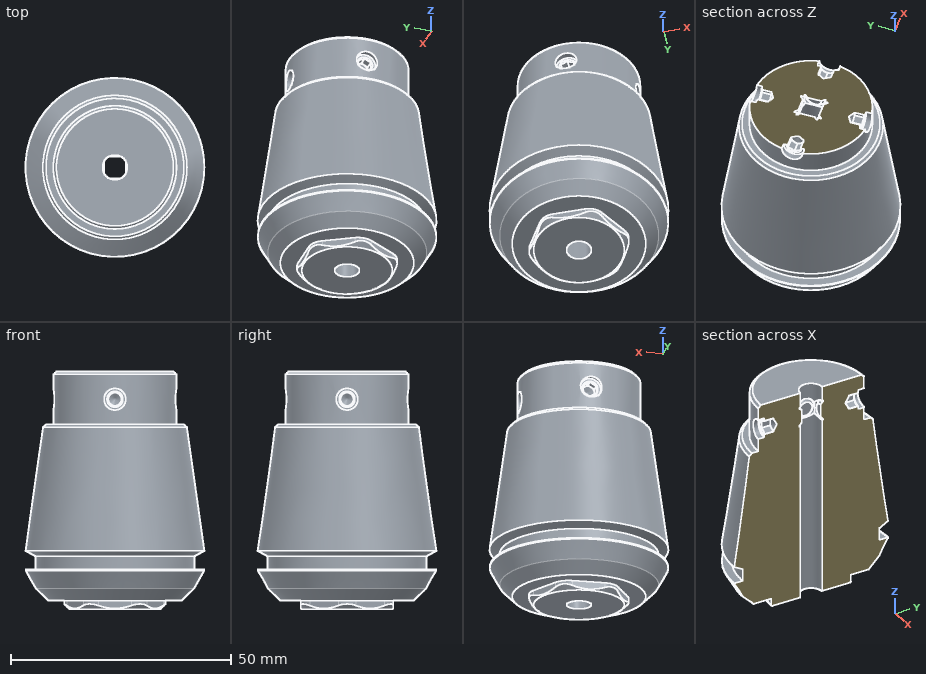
import cadquery as cq
import math

TOTAL_HEIGHT = 54.0
NUT_HEIGHT = 2.0
COLLAR_BREAK_Z = 4.8
COLLAR_RIM_Z = 8.8
GROOVE_BOTTOM_Z = 9.05
GROOVE_TOP_Z = 12.05
SLEEVE_BOTTOM_Z = 13.3
SHOULDER_Z = 42.0

NECK_DIAMETER = 27.95
SHOULDER_DIAMETER = 32.7
SLEEVE_DIAMETER = 40.65
GROOVE_DIAMETER = 36.2
COLLAR_DIAMETER = 40.55
COLLAR_BREAK_DIAMETER = 36.05
COLLAR_BOTTOM_DIAMETER = 30.35
BORE_DIAMETER = 5.6
EDGE_CHAMFER = 0.7

NUT_ACROSS_FLATS = 21.0
NUT_CORNER_RADIUS = 4.0
NUT_CHAMFER_DIAMETER = 20.6

SCREW_COUNT = 4
SCREW_DIAMETER = 4.9
SCREW_Z = 47.7
SCREW_TIP_RADIUS = 2.45
SCREW_TIP_CHAMFER = 0.75
SCREW_LENGTH = 10.0
SOCKET_ACROSS_FLATS = 2.95
SOCKET_DEPTH = 2.5
SOCKET_COUNTERSINK_DIAMETER = 3.6
DRILL_POINT_ANGLE = 120.0

HEXAGON_HALF_ANGLE = 30.0


def hexagon_across_corners(across_flats):
    """Distance between opposite sharp corners of a regular hexagon."""
    return across_flats / math.cos(math.radians(HEXAGON_HALF_ANGLE))


def make_body():
    """Revolve the neck, tapered sleeve, groove and collar."""
    neck_radius = NECK_DIAMETER / 2
    shoulder_radius = SHOULDER_DIAMETER / 2
    groove_radius = GROOVE_DIAMETER / 2
    collar_radius = COLLAR_DIAMETER / 2
    profile = [
        (0, NUT_HEIGHT),
        (COLLAR_BOTTOM_DIAMETER / 2, NUT_HEIGHT),
        (COLLAR_BREAK_DIAMETER / 2, COLLAR_BREAK_Z),
        (collar_radius, COLLAR_RIM_Z),
        (collar_radius, GROOVE_BOTTOM_Z),
        (groove_radius, GROOVE_BOTTOM_Z),
        (groove_radius, GROOVE_TOP_Z),
        (SLEEVE_DIAMETER / 2, SLEEVE_BOTTOM_Z),
        (shoulder_radius, SHOULDER_Z - EDGE_CHAMFER),
        (shoulder_radius - EDGE_CHAMFER, SHOULDER_Z),
        (neck_radius, SHOULDER_Z),
        (neck_radius, TOTAL_HEIGHT - EDGE_CHAMFER),
        (neck_radius - EDGE_CHAMFER, TOTAL_HEIGHT),
        (0, TOTAL_HEIGHT),
    ]
    return cq.Workplane("XZ").polyline(profile).close().revolve(360, (0, 0), (0, 1))


def make_nut():
    """Hexagon with flats facing +-Y, rounded corners and a 45 degree bottom chamfer."""
    sharp_corners = hexagon_across_corners(NUT_ACROSS_FLATS)
    hexagon = (
        cq.Workplane("XY")
        .polygon(6, sharp_corners)
        .extrude(NUT_HEIGHT)
        .edges("|Z")
        .fillet(NUT_CORNER_RADIUS)
    )
    bottom_radius = NUT_CHAMFER_DIAMETER / 2
    cone = cq.Solid.makeCone(bottom_radius, bottom_radius + NUT_HEIGHT, NUT_HEIGHT)
    return hexagon.intersect(cq.Workplane(cone))


def make_screw():
    """Socket set screw along +X, its chamfered tip inside the bore and its head below the neck surface."""
    head_radius = SCREW_TIP_RADIUS + SCREW_LENGTH
    socket_floor = head_radius - SOCKET_DEPTH
    drill_radius = SOCKET_ACROSS_FLATS / 2
    drill_point_depth = drill_radius / math.tan(math.radians(DRILL_POINT_ANGLE / 2))
    countersink_radius = SOCKET_COUNTERSINK_DIAMETER / 2

    screw = (
        cq.Workplane("YZ", origin=(SCREW_TIP_RADIUS, 0, SCREW_Z))
        .circle(SCREW_DIAMETER / 2)
        .extrude(SCREW_LENGTH)
        .faces("<X")
        .chamfer(SCREW_TIP_CHAMFER)
    )
    socket = (
        cq.Workplane("YZ", origin=(socket_floor, 0, SCREW_Z))
        .transformed(rotate=(0, 0, HEXAGON_HALF_ANGLE))
        .polygon(6, hexagon_across_corners(SOCKET_ACROSS_FLATS))
        .extrude(SOCKET_DEPTH)
    )
    inward = cq.Vector(-1, 0, 0)
    drill_point = cq.Solid.makeCone(
        drill_radius, 0, drill_point_depth, cq.Vector(socket_floor, 0, SCREW_Z), inward
    )
    countersink = cq.Solid.makeCone(
        countersink_radius, 0, countersink_radius, cq.Vector(head_radius, 0, SCREW_Z), inward
    )
    return screw.cut(socket).cut(cq.Workplane(drill_point)).cut(cq.Workplane(countersink))


def around_axis(shape, index):
    """Turn a shape to the given screw position about the Z axis."""
    return shape.rotate((0, 0, 0), (0, 0, 1), index * 360 / SCREW_COUNT)


bore = cq.Workplane("XY").circle(BORE_DIAMETER / 2).extrude(TOTAL_HEIGHT)
screw_hole = (
    cq.Workplane("YZ", origin=(0, 0, SCREW_Z))
    .circle(SCREW_DIAMETER / 2)
    .extrude(NECK_DIAMETER / 2)
)
set_screw = make_screw()

result = make_body().union(make_nut()).cut(bore)
for position in range(SCREW_COUNT):
    result = result.cut(around_axis(screw_hole, position))
for position in range(SCREW_COUNT):
    result = result.union(around_axis(set_screw, position))